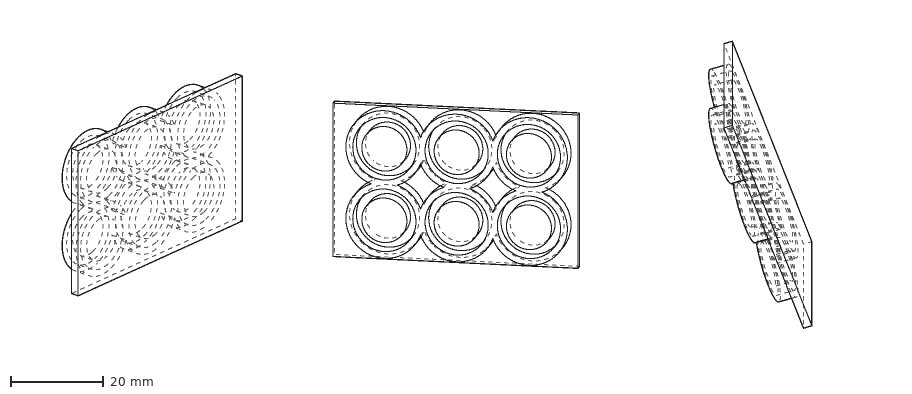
import cadquery as cq

plate_width = 54.3
plate_height = 34.35
plate_thickness = 1.95

overall_depth = 6.0
cup_depth = overall_depth - plate_thickness
cup_outer_radius = 8.5
cup_inner_radius = 7.0
pin_radius = 5.0
cup_pitch = 16.0
columns = 3
rows = 2

grid_offset_y = -1.1
grid_offset_z = 0.55

cup_centres = [
    (
        grid_offset_y + (column - (columns - 1) / 2) * cup_pitch,
        grid_offset_z + (row - (rows - 1) / 2) * cup_pitch,
    )
    for column in range(columns)
    for row in range(rows)
]


def disc(centre, radius):
    """Disc at one cup centre, rising from the plate front to the cup rim."""
    return (
        cq.Workplane("YZ", origin=(-plate_thickness, 0, 0))
        .center(*centre)
        .circle(radius)
        .extrude(-cup_depth)
    )


result = cq.Workplane("YZ").rect(plate_width, plate_height).extrude(-plate_thickness)

for cup_centre in cup_centres:
    result = result.union(disc(cup_centre, cup_outer_radius))

for cup_centre in cup_centres:
    groove = disc(cup_centre, cup_inner_radius).cut(disc(cup_centre, pin_radius))
    result = result.cut(groove)